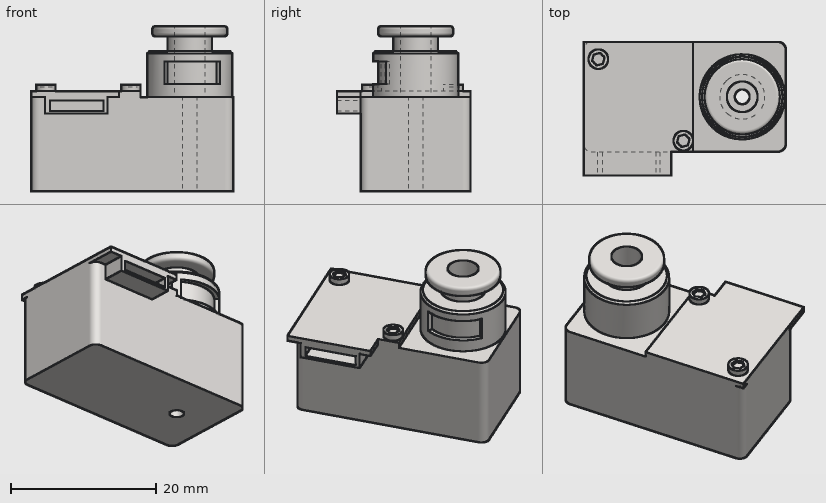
import cadquery as cq
import math

body_length = 27.83
body_width = 15.15
body_height = 12.97
corner_radius = 1.1

plate_length = 15.08
plate_thickness = 0.8
tongue_length = 12.08
overhang = 3.28
plate_top = body_height + plate_thickness

connector_left = 1.92
connector_length = 8.6
connector_height = 2.28
socket_left = 2.62
socket_length = 7.32
socket_bottom = 11.05
socket_height = 1.42
socket_depth = overhang

screw_centers = [(2.03, 12.75), (13.72, 1.53)]
head_diameter = 2.7
head_height = 0.92
hex_across_corners = 1.78
hex_depth = 0.33
hex_turn = 15.0

fitting_x = 21.82
fitting_y = body_width / 2
fitting_top = 22.75
collar_diameter = 11.72
collar_top = 19.3
collar_chamfer = 0.33
neck_diameter = 6.18
flange_diameter = 10.35
flange_thickness = 1.45
flange_fillet = 0.47
bore_diameter = 4.23
through_diameter = 2.0

window_floor_diameter = 10.35
window_bottom = 14.75
window_height = 3.12
window_left_angle = -36.0
window_right_angle = 45.4


def box(x, y, z, length, width, height):
    """Box given by its lowest corner and its sizes."""
    return cq.Workplane("XY").box(length, width, height, centered=False).translate((x, y, z))


def cylinder(x, y, z, diameter, height):
    """Upright cylinder standing on height z."""
    return cq.Workplane("XY", origin=(x, y, z)).circle(diameter / 2).extrude(height)


def fitting_cylinder(bottom, top, diameter):
    return cylinder(fitting_x, fitting_y, bottom, diameter, top - bottom)


def make_body():
    body = box(0, 0, 0, body_length, body_width, body_height)
    return body.edges("|Z").fillet(corner_radius)


def make_cover():
    plate = box(0, 0, body_height, plate_length, body_width, plate_thickness)
    tongue = box(0, -overhang, body_height, tongue_length, overhang, plate_thickness)
    shell_bottom = body_height - connector_height
    shell = box(connector_left, -overhang, shell_bottom, connector_length, overhang, connector_height)
    return plate.union(tongue).union(shell)


def make_socket():
    return box(socket_left, -overhang, socket_bottom, socket_length, socket_depth, socket_height)


def make_screw(x, y):
    head = cylinder(x, y, plate_top, head_diameter, head_height)
    recess = cq.Workplane("XY").polygon(6, hex_across_corners).extrude(hex_depth)
    recess = recess.rotate((0, 0, 0), (0, 0, 1), hex_turn)
    return head.cut(recess.translate((x, y, plate_top + head_height - hex_depth)))


def make_window():
    """Sector of a ring between the two radial walls."""
    reach = collar_diameter

    def wall_end(angle):
        turn = math.radians(angle)
        return (reach * math.sin(turn), -reach * math.cos(turn))

    sector = (
        cq.Workplane("XY", origin=(fitting_x, fitting_y, window_bottom))
        .polyline([(0, 0), wall_end(window_left_angle), wall_end(window_right_angle)])
        .close()
        .extrude(window_height)
    )
    return sector.cut(fitting_cylinder(window_bottom, window_bottom + window_height, window_floor_diameter))


def make_fitting():
    flange_bottom = fitting_top - flange_thickness
    collar = fitting_cylinder(body_height, collar_top, collar_diameter)
    collar = collar.faces(">Z").edges().chamfer(collar_chamfer)
    neck = fitting_cylinder(collar_top, flange_bottom, neck_diameter)
    flange = fitting_cylinder(flange_bottom, fitting_top, flange_diameter)
    flange = flange.edges().fillet(flange_fillet)
    return collar.cut(make_window()).union(neck).union(flange)


result = make_body().union(make_cover()).union(make_fitting())
for screw_x, screw_y in screw_centers:
    result = result.union(make_screw(screw_x, screw_y))
result = result.cut(make_socket())
result = result.cut(fitting_cylinder(body_height, fitting_top, bore_diameter))
result = result.cut(fitting_cylinder(0, body_height, through_diameter))